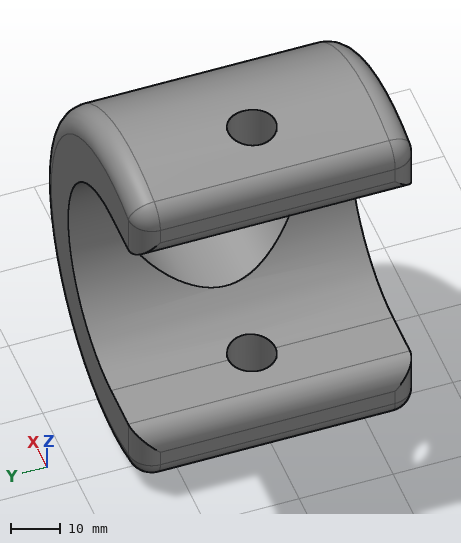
import cadquery as cq

outer_diameter = 80.0
bore_diameter = 50.0
width = 60.0
edge_diameter = 10.0
pin_hole_diameter = 10.0
back_hole_diameter = 40.0

outer_radius = outer_diameter / 2
bore_radius = bore_diameter / 2
edge_radius = edge_diameter / 2
lip_reach = outer_radius - bore_radius


def clip_body():
    """Cylinder cut flat at the lips, with a U-shaped bore open toward -X."""
    cylinder = cq.Workplane("XZ").circle(outer_radius).extrude(width / 2, both=True)
    envelope = cq.Workplane("XY").box(
        lip_reach + outer_radius, width, outer_diameter
    ).translate(((outer_radius - lip_reach) / 2, 0, 0))
    bore = (
        cq.Workplane("XZ")
        .moveTo(-outer_radius, bore_radius)
        .lineTo(0, bore_radius)
        .threePointArc((bore_radius, 0), (0, -bore_radius))
        .lineTo(-outer_radius, -bore_radius)
        .close()
        .extrude(width / 2, both=True)
    )
    return cylinder.intersect(envelope).cut(bore)


def round_edges(body):
    """Round the outer rims and every edge of the lip faces; the bore rims stay sharp."""
    lip_edges = body.faces("<X").edges()
    outer_rims = body.faces("<Y or >Y").edges("%CIRCLE").filter(
        lambda edge: edge.radius() > bore_radius + edge_radius
    )
    return body.newObject(lip_edges.vals() + outer_rims.vals()).fillet(edge_radius)


def cylinder_cutter(plane, diameter, depth):
    return cq.Workplane(plane).circle(diameter / 2).extrude(depth)


pin_hole = cylinder_cutter("XY", pin_hole_diameter, outer_diameter).translate((0, 0, -outer_radius))
back_hole = cylinder_cutter("YZ", back_hole_diameter, outer_diameter)

result = round_edges(clip_body()).cut(pin_hole).cut(back_hole)